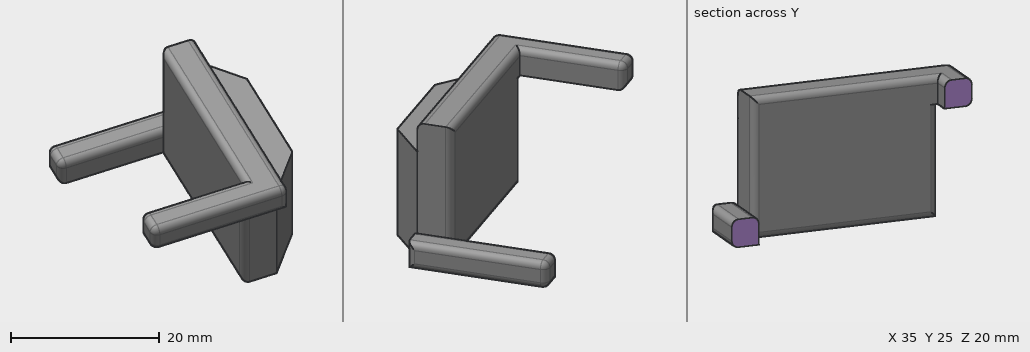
import cadquery as cq

total_width = 35.0
body_height = 20.0
arm_length = 20.0
arm_size = 4.0
plate_thickness = 5.0
block_depth = 5.0
block_height = 15.68
block_taper = 6.0
edge_radius = 1.0

plate_left = arm_size
plate_right = total_width - arm_size
plate_width = plate_right - plate_left
plate_middle = total_width / 2
arm_underside = body_height - arm_size


def box(x, y, z, width, depth, height):
    """Box with its minimum corner at (x, y, z)."""
    return cq.Workplane("XY").box(width, depth, height, centered=False).translate((x, y, z))


def round_edges(body, midpoints):
    """Round the edges whose midpoints lie nearest to the given points."""
    edges = [body.edges(cq.NearestToPointSelector(point)).val() for point in midpoints]
    return body.newObject(edges).fillet(edge_radius)


def make_left_arm():
    """Low arm; its lower inner and rear inner edges stay sharp against the plate."""
    arm = box(0, -arm_length, 0, arm_size, arm_length, arm_size)
    middle = arm_size / 2
    return round_edges(arm, [
        (0, -arm_length / 2, 0),
        (0, -arm_length / 2, arm_size),
        (arm_size, -arm_length / 2, arm_size),
        (0, 0, middle),
        (0, -arm_length, middle),
        (arm_size, -arm_length, middle),
        (middle, -arm_length, 0),
        (middle, -arm_length, arm_size),
    ])


def make_plate_with_right_arm():
    """Upright plate and high arm, rounded together so their top edges run on."""
    plate = box(plate_left, -plate_thickness, 0, plate_width, plate_thickness, body_height)
    arm = box(plate_right, -arm_length, arm_underside, arm_size, arm_length, arm_size)
    body = plate.union(arm)

    arm_middle_x = plate_right + arm_size / 2
    arm_middle_z = arm_underside + arm_size / 2
    inner_middle_y = -(arm_length + plate_thickness) / 2
    return round_edges(body, [
        (plate_left, -plate_thickness, body_height / 2),
        (plate_middle, -plate_thickness, body_height),
        (plate_middle, -plate_thickness, 0),
        (plate_right, -plate_thickness, arm_underside / 2),
        ((plate_left + total_width) / 2, 0, body_height),
        (plate_right, inner_middle_y, body_height),
        (total_width, -arm_length / 2, body_height),
        (total_width, -arm_length / 2, arm_underside),
        (total_width, 0, arm_middle_z),
        (plate_right, -arm_length, arm_middle_z),
        (total_width, -arm_length, arm_middle_z),
        (arm_middle_x, -arm_length, arm_underside),
        (arm_middle_x, -arm_length, body_height),
    ])


def make_rear_block():
    """Tapered block standing on the base behind the plate."""
    return (
        cq.Workplane("XY")
        .moveTo(plate_left, 0)
        .lineTo(plate_left + block_taper, block_depth)
        .lineTo(plate_right - block_taper, block_depth)
        .lineTo(plate_right, 0)
        .close()
        .extrude(block_height)
    )


result = make_plate_with_right_arm().union(make_left_arm()).union(make_rear_block())